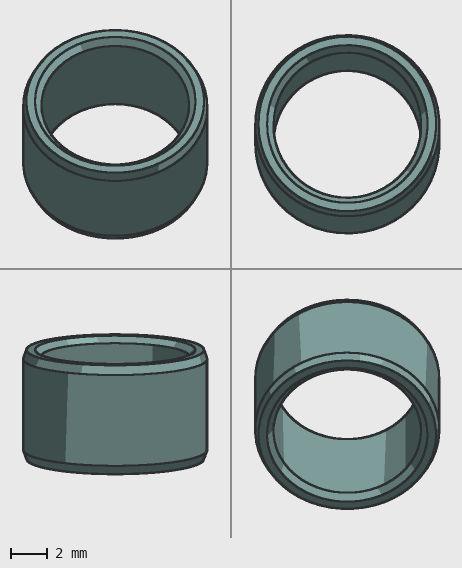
import cadquery as cq
import math

outer_diameter = 10.0
bore_diameter = 8.0
height = 6.0

outer_taper_height = 0.5
outer_taper_angle = 20.0

bore_taper_width = 0.35
bore_taper_height = 0.35

outer_radius = outer_diameter / 2
bore_radius = bore_diameter / 2
half_height = height / 2
outer_taper_width = outer_taper_height * math.tan(math.radians(outer_taper_angle))

wall_section = [
    (bore_radius, -half_height + bore_taper_height),
    (bore_radius + bore_taper_width, -half_height),
    (outer_radius - outer_taper_width, -half_height),
    (outer_radius, -half_height + outer_taper_height),
    (outer_radius, half_height - outer_taper_height),
    (outer_radius - outer_taper_width, half_height),
    (bore_radius + bore_taper_width, half_height),
    (bore_radius, half_height - bore_taper_height),
]

result = (
    cq.Workplane("XZ")
    .polyline(wall_section)
    .close()
    .revolve(360, (0, 0, 0), (0, 1, 0))
)